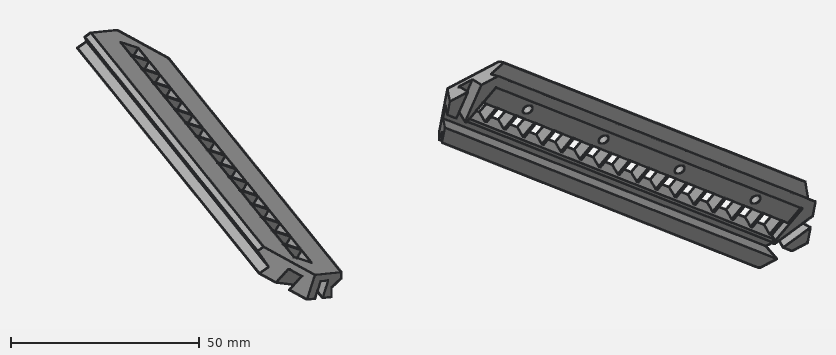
import cadquery as cq
import math


golden_ratio = (1 + math.sqrt(5)) / 2
panel_slope = 1 / golden_ratio
tilt = math.degrees(math.atan(panel_slope))

thickness = 6.42
top_n = thickness / 2
bottom_n = -thickness / 2
apex_u = 10.7
apex_n = -0.63
rim_n = 1.55

rim_u = apex_u + (rim_n - apex_n) / panel_slope
top_u = rim_u - (top_n - rim_n) * panel_slope
bottom_u = apex_u + (apex_n - bottom_n) * panel_slope

overall_length = 134.76
tip_half_length = overall_length / 2
mitre_slope_u = panel_slope
mitre_slope_n = panel_slope**2

groove_inner_u = -4.0
groove_outer_u = -7.8
groove_roof_n = 1.35
slot_angle = 19.2
slot_width = 3.1
slot_mouth_u = 6.3

window_count = 16
window_pitch = 7.15
window_length = 6.55
led_half_width = 3.0
strip_n = -0.8
recess_half_length = 57.7
recess_edge_u = 8.9
recess_floor_n = -2.6

screw_diameter = 2.8
screw_depth = 4.0
screw_u = (led_half_width + recess_edge_u) / 2
screw_windows_apart = 4
screw_count = 4


def block(half_length, u_min, u_max, n_min, n_max):
    """Box centred on x = 0."""
    size_u = u_max - u_min
    size_n = n_max - n_min
    box = cq.Workplane("XY").box(2 * half_length, size_u, size_n)
    return box.translate((0, (u_min + u_max) / 2, (n_min + n_max) / 2))


def centred_steps(count, pitch):
    """Evenly spaced positions, symmetric about 0."""
    return [(i - (count - 1) / 2) * pitch for i in range(count)]


def mitre_x(u, n):
    """Half length of the bar at the point (u, n) of its cross-section."""
    return tip_half_length - mitre_slope_u * abs(u) - mitre_slope_n * (n - bottom_n)


def make_bar():
    right_side = [(top_u, top_n), (rim_u, rim_n), (apex_u, apex_n), (bottom_u, bottom_n)]
    left_side = [(-u, n) for u, n in reversed(right_side)]
    section = cq.Workplane("YZ").polyline(right_side + left_side).close()
    return section.extrude(tip_half_length, both=True)


def mitre_hexagon(n):
    tip = mitre_x(0, n)
    side = mitre_x(rim_u, n)
    return [(tip, 0), (side, rim_u), (-side, rim_u), (-tip, 0), (-side, -rim_u), (side, -rim_u)]


def make_mitre_envelope():
    outer = cq.Workplane("XY", origin=(0, 0, bottom_n)).polyline(mitre_hexagon(bottom_n)).close()
    inner = outer.workplane(offset=thickness).polyline(mitre_hexagon(top_n)).close()
    return inner.loft(ruled=True)


def make_end_slot():
    """Slot at the -x end, from the wire groove out through the mitre face."""
    run = 2 * apex_u
    groove_u = (groove_inner_u + groove_outer_u) / 2
    start = (groove_u - slot_mouth_u) / math.cos(math.radians(slot_angle))
    slot = block(slot_width / 2, start, run, bottom_n, groove_roof_n)
    slot = slot.rotate((0, 0, 0), (0, 0, 1), slot_angle)
    return slot.translate((-mitre_x(slot_mouth_u, bottom_n), slot_mouth_u, 0))


bar = make_bar().intersect(make_mitre_envelope())
bar = bar.cut(block(tip_half_length, groove_outer_u, groove_inner_u, bottom_n, groove_roof_n))
bar = bar.cut(block(recess_half_length, groove_inner_u, recess_edge_u, bottom_n, recess_floor_n))
bar = bar.cut(block(recess_half_length, -led_half_width, led_half_width, recess_floor_n, strip_n))

window = block(window_length / 2, -led_half_width, led_half_width, strip_n, top_n)
for x in centred_steps(window_count, window_pitch):
    bar = bar.cut(window.translate((x, 0, 0)))

screw_spot = cq.Workplane("XY", origin=(0, screw_u, recess_floor_n))
screw_hole = screw_spot.circle(screw_diameter / 2).extrude(screw_depth)
for x in centred_steps(screw_count, screw_windows_apart * window_pitch):
    bar = bar.cut(screw_hole.translate((x, 0, 0)))

end_slot = make_end_slot()
bar = bar.cut(end_slot).cut(end_slot.mirror("YZ"))

bar = bar.mirror("XZ").rotate((0, 0, 0), (1, 0, 0), -tilt)
box = bar.val().BoundingBox()
result = bar.translate((-box.center.x, -box.center.y, -box.center.z))